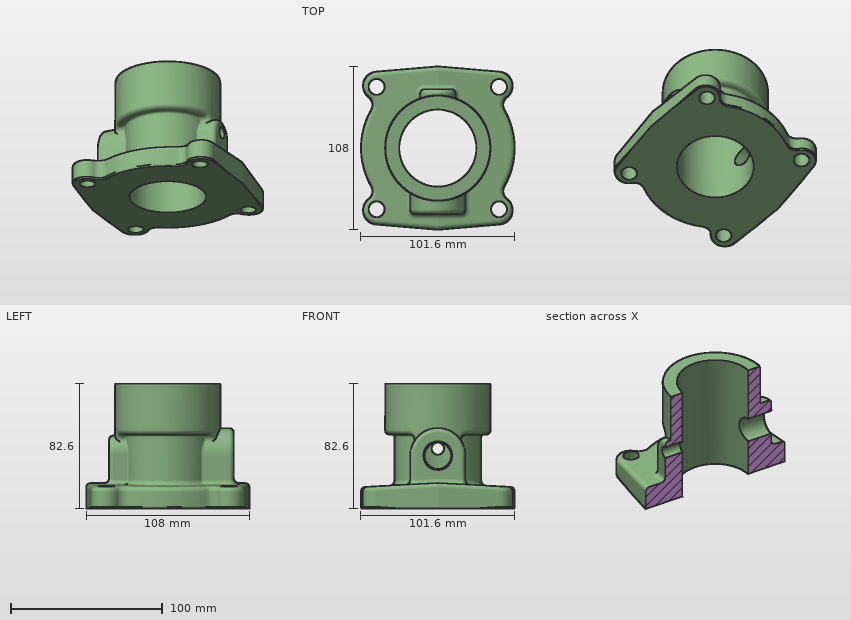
import cadquery as cq
import math

flange_half_length = 54.0
rim_radius = 50.79
lug_radius = 9.5
lug_x = 39.9
lug_y = 41.0
waist_radius = 6.4
ridge_height = 17.0
roof_angle = 3.0
bolt_pitch = 80.7
bolt_hole_diameter = 10.4
foot_height = 1.3
foot_inset = 0.4
foot_flat_x = 21.6

total_height = 82.6
bore_diameter = 50.7
neck_radius = 28.7
collar_radius = 34.9
collar_bottom = 48.8
collar_bevel_height = 1.2
collar_bevel_depth = 0.3

front_face = 43.6
front_radius = 18.2
front_axis_height = 35.0
port_diameter = 17.5
port_bevel = 0.8

rear_face = 38.9
rear_radius = 11.8
rear_axis_height = 36.6
rear_hole_diameter = 8.0
rear_hole_height = 39.6

large_fillet = 3.1
small_fillet = 1.5
split_height = 27.0
overlap = 1.1


def along(start, end, distance):
    """Point at the given distance from start towards end."""
    ratio = distance / math.dist(start, end)
    return (start[0] + ratio * (end[0] - start[0]), start[1] + ratio * (end[1] - start[1]))


def arc_middle(center, radius, start, end):
    """Point halfway along the shorter arc from start to end."""
    chord_middle = ((start[0] + end[0]) / 2, (start[1] + end[1]) / 2)
    return along(center, chord_middle, radius)


def flange_outline(inset):
    """Flange outline with rim and lugs drawn in by inset.

    The straight edges keep their place up to foot_flat_x from the YZ plane and
    run from there tangent into the lugs.
    """
    rim = rim_radius - inset
    lug = lug_radius - inset
    waist = waist_radius + inset
    origin = (0, 0)
    lug_center = (lug_x, lug_y)

    to_waist = rim + waist
    to_lug = math.hypot(lug_x, lug_y)
    cosine = (to_waist**2 + to_lug**2 - (waist + lug) ** 2) / (2 * to_waist * to_lug)
    waist_angle = math.atan2(lug_y, lug_x) - math.acos(cosine)
    waist_center = (to_waist * math.cos(waist_angle), to_waist * math.sin(waist_angle))
    rim_end = along(origin, waist_center, rim)
    lug_end = along(lug_center, waist_center, lug)

    def tangent_angle(x, y, radius):
        """Direction of the line from (x, y) that touches the lug from above."""
        dx = lug_x - x
        dy = lug_y - y
        return math.atan2(dy, dx) + math.asin(radius / math.hypot(dx, dy))

    apex = (0, flange_half_length)
    edge_angle = tangent_angle(*apex, lug_radius)
    edge_start = (foot_flat_x, flange_half_length + foot_flat_x * math.tan(edge_angle))
    run_angle = tangent_angle(*edge_start, lug)
    lug_start = (lug_x - lug * math.sin(run_angle), lug_y + lug * math.cos(run_angle))
    diagonal = math.sqrt(0.5)
    lug_middle = (lug_x + lug * diagonal, lug_y + lug * diagonal)
    waist_middle = arc_middle(waist_center, waist, lug_end, rim_end)
    rim_middle = arc_middle(origin, rim, rim_end, (rim, 0))

    quadrant = (
        cq.Workplane("XY")
        .moveTo(*apex)
        .lineTo(*edge_start)
        .lineTo(*lug_start)
        .threePointArc(lug_middle, lug_end)
        .threePointArc(waist_middle, rim_end)
        .threePointArc(rim_middle, (rim, 0))
    )
    return quadrant.mirrorX().mirrorY()


def make_flange():
    """Plate with a roof-shaped top, a rounded top edge and a relieved bottom edge."""
    eave_x = 2 * rim_radius
    eave_height = ridge_height - eave_x * math.tan(math.radians(roof_angle))
    roof = (
        cq.Workplane("XZ")
        .moveTo(0, ridge_height)
        .lineTo(eave_x, eave_height)
        .lineTo(eave_x, 0)
        .lineTo(-eave_x, 0)
        .lineTo(-eave_x, eave_height)
        .close()
        .extrude(2 * flange_half_length, both=True)
    )
    plate = flange_outline(0).extrude(ridge_height).intersect(roof)
    plate = plate.faces(">Z").edges("not |Y").fillet(large_fillet)

    relief_angle = math.degrees(math.atan2(foot_inset, foot_height))
    envelope = flange_outline(foot_inset).extrude(ridge_height, taper=-relief_angle)
    return plate.intersect(envelope)


def make_boss(face, radius, axis_height, side):
    """Round-topped block from the bore axis to its face; side is +1 for +Y, -1 for -Y."""
    block = (
        cq.Workplane("XZ")
        .moveTo(-radius, 0)
        .lineTo(-radius, axis_height)
        .threePointArc((0, axis_height + radius), (radius, axis_height))
        .lineTo(radius, 0)
        .close()
        .extrude(-side * face)
    )
    face_edges = block.faces(">Y" if side > 0 else "<Y").edges("not <Z")
    return block.newObject(face_edges.vals()).fillet(large_fillet)


def make_gusset(radius, axis_height, side):
    """Web between boss and collar whose flanks blend from the underside into the boss top."""
    flank_height = collar_bottom - large_fillet
    rise = flank_height - axis_height
    reach = radius + large_fillet
    flank_x = math.sqrt(reach**2 - rise**2)
    seat = along((0, axis_height), (flank_x, flank_height), radius)
    top = (flank_x, collar_bottom)
    middle = arc_middle((flank_x, flank_height), large_fillet, top, seat)
    profile = (
        cq.Workplane("XZ")
        .moveTo(0, total_height - overlap)
        .lineTo(flank_x, total_height - overlap)
        .lineTo(*top)
        .threePointArc(middle, seat)
        .lineTo(0, seat[1])
        .mirrorY()
    )
    return profile.extrude(-side * 2 * collar_radius)


def make_collar():
    """Collar with its gussets, rounded along the lower outer edge."""
    sleeve = cq.Workplane("XY").circle(collar_radius).extrude(total_height)
    underside = cq.Workplane("XY").workplane(offset=collar_bottom)
    collar = underside.circle(collar_radius).extrude(total_height - collar_bottom)
    for radius, axis_height, side in (
        (front_radius, front_axis_height, -1),
        (rear_radius, rear_axis_height, 1),
    ):
        collar = collar.union(make_gusset(radius, axis_height, side).intersect(sleeve))
    collar = collar.edges("%BSPLINE").fillet(large_fillet)
    return collar.faces(">Z").chamfer(collar_bevel_height, collar_bevel_depth)


def add_bosses(body):
    """Body with the front and rear bosses joined on."""
    body = body.union(make_boss(front_face, front_radius, front_axis_height, -1))
    return body.union(make_boss(rear_face, rear_radius, rear_axis_height, 1))


def fillet_corners(body):
    """Round the upright corners between neck and bosses and what runs on from them."""
    corner_reach = front_radius + overlap
    corners = cq.selectors.BoxSelector(
        (-corner_reach, -neck_radius, 0),
        (corner_reach, neck_radius, collar_bottom),
    )
    return body.edges("|Z").edges(corners).fillet(small_fillet)


def slab(bottom, top):
    """Block wider than the part between two levels."""
    width = 4 * flange_half_length
    return cq.Workplane("XY").workplane(offset=bottom).rect(width, width).extrude(top - bottom)


def make_lower_body():
    """Flange with the lower part of neck and bosses, filleted at their foot."""
    neck = cq.Workplane("XY").circle(neck_radius).extrude(split_height + overlap)
    body = add_bosses(neck).union(make_flange())
    foot = cq.selectors.BoxSelector(
        (-neck_radius, -front_face - overlap, ridge_height - 2 * overlap),
        (neck_radius, rear_face + overlap, ridge_height + overlap),
    )
    body = body.edges(foot).fillet(large_fillet)
    return fillet_corners(body.intersect(slab(0, split_height)))


def make_upper_body():
    """Collar with the upper part of neck and bosses."""
    neck = cq.Workplane("XY").circle(neck_radius).extrude(total_height - overlap)
    body = fillet_corners(add_bosses(make_collar().union(neck)))
    return body.intersect(slab(split_height, total_height + overlap))


def cross_hole(diameter, height, side):
    """Round cutter along Y from the bore axis out on one side."""
    section = cq.Workplane("XZ").center(0, height).circle(diameter / 2)
    return section.extrude(-side * flange_half_length)


def cut_holes(body):
    """Through bore, bolt holes, bevelled front port and small rear hole."""
    base = cq.Workplane("XY")
    body = body.cut(base.circle(bore_diameter / 2).extrude(total_height))
    bolts = base.rect(bolt_pitch, bolt_pitch, forConstruction=True).vertices()
    body = body.cut(bolts.circle(bolt_hole_diameter / 2).extrude(ridge_height))
    body = body.cut(cross_hole(port_diameter, front_axis_height, -1))
    port_mouth = cq.Workplane("XZ", origin=(0, -front_face, front_axis_height))
    port_mouth = port_mouth.circle(port_diameter / 2 + port_bevel)
    body = body.cut(port_mouth.extrude(-port_bevel, taper=45))
    return body.cut(cross_hole(rear_hole_diameter, rear_hole_height, 1))


result = cut_holes(make_lower_body().union(make_upper_body()))